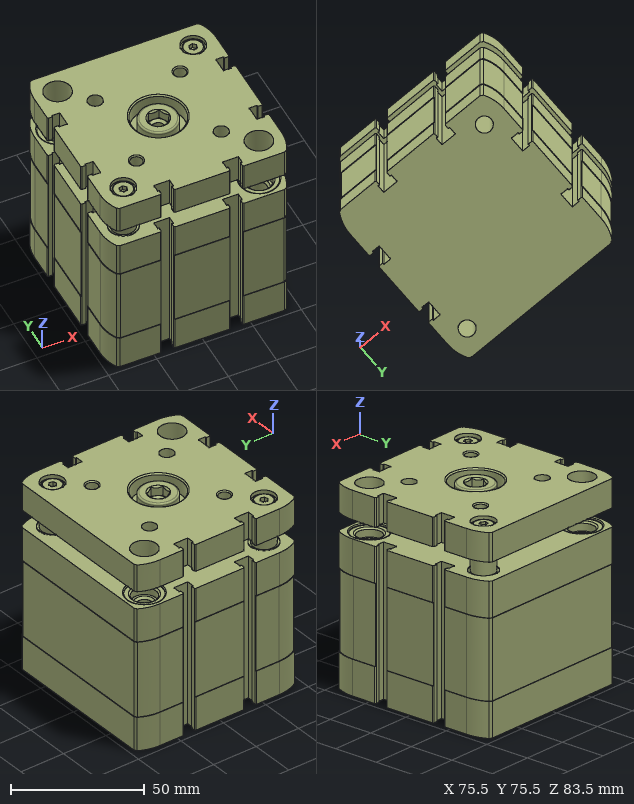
import cadquery as cq
import math

WIDTH = 75.5
HALF = WIDTH / 2
CORNER_ARC_RADIUS = 17.8
CORNER_DEPTH = 2.4
EDGE_BEVEL_WIDTH = 1.2
EDGE_BEVEL_DROP = 0.7

SLOT_OFFSET = 14.3
SLOT_MOUTH = 5.2
SLOT_INNER = 6.5
SLOT_DEPTH = 5.35
SLOT_LIP = 2.1
SLOT_CHAMFER = 0.4
SLOT_OVERCUT = 0.8

HOUSING_HEIGHT = 63.8
CAP_HEIGHT = 15
PROFILE_INSET = 0.2
YOKE_GAP = 7.7
PLATE_THICKNESS = 12.0
PLATE_BOTTOM = HOUSING_HEIGHT + YOKE_GAP
PLATE_TOP = PLATE_BOTTOM + PLATE_THICKNESS

CORNER_OFFSET = 28.1
GUIDE_AXES = [(CORNER_OFFSET, CORNER_OFFSET), (-CORNER_OFFSET, -CORNER_OFFSET)]
MOUNT_AXES = [(-CORNER_OFFSET, CORNER_OFFSET), (CORNER_OFFSET, -CORNER_OFFSET)]

GUIDE_DIA = 10
GUIDE_SEAT_DIA = 12.0
GUIDE_SEAT_DEPTH = 0.4
GUIDE_RECESS_DEPTH = 1.7
GUIDE_HEAD_DIA = 8.5
GUIDE_HEAD_HEIGHT = 0.75
GUIDE_HEAD_CHAMFER = 0.4
GUIDE_HEX_FLATS = 2.8
GUIDE_HEX_DEPTH = 2.0
GUIDE_HEX_TURN = 15

ROD_DIA = 16.0
ROD_FLATS = 12.7
ROD_FLAT_START = 1.0
ROD_FLAT_RUNOUT = 0.75
ROD_TOP_DROP = 1.0
ROD_ROUND = 0.75
ROD_HEX_FLATS = 7.7
ROD_HEX_DEPTH = 4.2
ROD_MOUTH_DIA = 9.2
ROD_DRILL_DIA = 5
ROD_DRILL_DEPTH = 3.3
ROD_CONE_ANGLE = 60
ROD_INSERTION = CAP_HEIGHT

PLATE_RECESS_DIA = 22.0
PLATE_RECESS_DEPTH = 6.85
PLATE_RECESS_CHAMFER = 0.6
MOUNT_ACCESS_DIA = 11.0
FIXING_OFFSET = 17.6
THREAD_DIA = 5
PIN_HOLE_DIA = 6.0

MOUNT_HOLE_DIA = 6.7
MOUNT_CONE_DIA = 8.5
MOUNT_SEAT_DIA = 15.5
MOUNT_SEAT_CHAMFER = 0.4
MOUNT_SEAT_DEPTH = 0.7
MOUNT_BORE_DIA = 10.6
MOUNT_BORE_RIM_DIA = 12.0
MOUNT_BORE_DEPTH = 4.5


def cylinder(diameter, bottom, top, axis=(0, 0)):
    """Vertical cylinder between two heights."""
    return cq.Workplane("XY", origin=(*axis, bottom)).circle(diameter / 2).extrude(top - bottom)


def cone(bottom_dia, top_dia, bottom, top, axis=(0, 0)):
    """Vertical cone between two heights."""
    solid = cq.Solid.makeCone(
        bottom_dia / 2, top_dia / 2, top - bottom, cq.Vector(*axis, bottom)
    )
    return cq.Workplane(solid)


def hexagon(flats, bottom, top, axis=(0, 0), turn=0):
    """Vertical hexagonal prism; with no turn, two of its corners lie along X."""
    prism = (
        cq.Workplane("XY", origin=(*axis, bottom))
        .polygon(6, flats / math.cos(math.pi / 6))
        .extrude(top - bottom)
    )
    return prism.rotate((*axis, 0), (*axis, 1), turn)


def corner_points(half):
    """Start, middle and end of the large arc, then the end of the small edge bevel."""
    sweep = math.acos(1 - CORNER_DEPTH / CORNER_ARC_RADIUS)
    start_y = half - EDGE_BEVEL_DROP - CORNER_ARC_RADIUS * math.sin(sweep)

    def on_arc(angle):
        x = half - CORNER_ARC_RADIUS * (1 - math.cos(angle))
        return (x, start_y + CORNER_ARC_RADIUS * math.sin(angle))

    return on_arc(0), on_arc(sweep / 2), on_arc(sweep), (on_arc(sweep)[0] - EDGE_BEVEL_WIDTH, half)


def section(half, bottom, top):
    """Square block with its four corners rounded into the X faces."""
    start, middle, end, edge = corner_points(half)
    outline = (
        cq.Workplane("XY", origin=(0, 0, bottom))
        .moveTo(start[0], -start[1])
        .lineTo(*start)
        .threePointArc(middle, end)
        .lineTo(*edge)
        .lineTo(-edge[0], edge[1])
        .lineTo(-end[0], end[1])
        .threePointArc((-middle[0], middle[1]), (-start[0], start[1]))
        .lineTo(-start[0], -start[1])
        .threePointArc((-middle[0], -middle[1]), (-end[0], -end[1]))
        .lineTo(-edge[0], -edge[1])
        .lineTo(edge[0], -edge[1])
        .lineTo(end[0], -end[1])
        .threePointArc((middle[0], -middle[1]), (start[0], -start[1]))
        .close()
    )
    return outline.extrude(top - bottom)


def t_slots(bottom, top):
    """Pairs of T-slots for the -Y, +X and -X faces."""
    mouth = SLOT_MOUTH / 2
    inner = SLOT_INNER / 2
    flare = mouth + SLOT_CHAMFER
    face = -HALF
    outside = face - SLOT_OVERCUT
    chamfer_end = face + SLOT_CHAMFER
    lip_end = face + SLOT_LIP
    floor = face + SLOT_DEPTH
    slot = (
        cq.Workplane("XY", origin=(0, 0, bottom))
        .polyline([
            (-flare, outside), (-flare, face), (-mouth, chamfer_end), (-mouth, lip_end),
            (-inner, lip_end), (-inner, floor), (inner, floor), (inner, lip_end),
            (mouth, lip_end), (mouth, chamfer_end), (flare, face), (flare, outside),
        ])
        .close()
        .extrude(top - bottom)
    )
    pair = slot.translate((-SLOT_OFFSET, 0, 0)).union(slot.translate((SLOT_OFFSET, 0, 0)))
    slots = pair
    for turn in (90, -90):
        slots = slots.union(pair.rotate((0, 0, 0), (0, 0, 1), turn))
    return slots


def make_housing():
    """Tube with two end caps, seats for the rods and two through mounting holes."""
    lower_cap_top = CAP_HEIGHT
    upper_cap_bottom = HOUSING_HEIGHT - CAP_HEIGHT
    body = (
        section(HALF, 0, lower_cap_top)
        .union(section(HALF - PROFILE_INSET, lower_cap_top, upper_cap_bottom))
        .union(section(HALF, upper_cap_bottom, HOUSING_HEIGHT))
        .cut(t_slots(0, HOUSING_HEIGHT))
    )

    rod_end = HOUSING_HEIGHT - ROD_INSERTION
    body = body.cut(cylinder(ROD_DIA, rod_end, HOUSING_HEIGHT))
    for axis in GUIDE_AXES:
        body = body.cut(cylinder(GUIDE_DIA, rod_end, HOUSING_HEIGHT, axis))
        body = body.cut(
            cylinder(GUIDE_SEAT_DIA, HOUSING_HEIGHT - GUIDE_SEAT_DEPTH, HOUSING_HEIGHT, axis)
        )

    seat_floor = HOUSING_HEIGHT - MOUNT_SEAT_DEPTH
    bore_floor = HOUSING_HEIGHT - MOUNT_BORE_DEPTH
    seat_rim_dia = MOUNT_SEAT_DIA + 2 * MOUNT_SEAT_CHAMFER
    seat_chamfer_bottom = HOUSING_HEIGHT - MOUNT_SEAT_CHAMFER
    bore_chamfer_bottom = seat_floor - (MOUNT_BORE_RIM_DIA - MOUNT_BORE_DIA) / 2
    countersink_bottom = bore_floor - (MOUNT_CONE_DIA - MOUNT_HOLE_DIA) / 2
    for axis in MOUNT_AXES:
        body = (
            body.cut(cylinder(MOUNT_SEAT_DIA, seat_floor, HOUSING_HEIGHT, axis))
            .cut(cone(MOUNT_SEAT_DIA, seat_rim_dia, seat_chamfer_bottom, HOUSING_HEIGHT, axis))
            .cut(cylinder(MOUNT_BORE_DIA, bore_floor, HOUSING_HEIGHT, axis))
            .cut(cone(MOUNT_BORE_DIA, MOUNT_BORE_RIM_DIA, bore_chamfer_bottom, seat_floor, axis))
            .cut(cone(MOUNT_HOLE_DIA, MOUNT_CONE_DIA, countersink_bottom, bore_floor, axis))
            .cut(cylinder(MOUNT_HOLE_DIA, 0, HOUSING_HEIGHT, axis))
        )
    return body


def make_piston_rod():
    """Central rod with wrench flats and a hexagon socket in its rounded end."""
    top = PLATE_TOP - ROD_TOP_DROP
    rod = cylinder(ROD_DIA, HOUSING_HEIGHT - ROD_INSERTION, top)
    rod = rod.faces(">Z").edges().fillet(ROD_ROUND)

    flat_start = HOUSING_HEIGHT + ROD_FLAT_START
    flat_end = PLATE_BOTTOM
    slope_low = flat_start - ROD_FLAT_RUNOUT
    flat_y = ROD_FLATS / 2
    rod_radius = ROD_DIA / 2
    flat = (
        cq.Workplane("YZ", origin=(-rod_radius, 0, 0))
        .polyline([
            (flat_y, flat_start), (rod_radius, slope_low),
            (rod_radius, flat_end), (flat_y, flat_end),
        ])
        .close()
        .extrude(ROD_DIA)
    )
    rod = rod.cut(flat).cut(flat.mirror("XZ"))

    hex_bottom = top - ROD_HEX_DEPTH
    slope = math.tan(math.radians(ROD_CONE_ANGLE))
    drill_top = hex_bottom - (ROD_HEX_FLATS - ROD_DRILL_DIA) / 2 / slope
    drill_bottom = drill_top - ROD_DRILL_DEPTH
    mouth_depth = (ROD_MOUTH_DIA - ROD_HEX_FLATS) / 2
    return (
        rod.cut(hexagon(ROD_HEX_FLATS, hex_bottom, top))
        .cut(cone(ROD_HEX_FLATS, ROD_MOUTH_DIA, top - mouth_depth, top))
        .cut(cone(ROD_DRILL_DIA, ROD_HEX_FLATS, drill_top, hex_bottom))
        .cut(cylinder(ROD_DRILL_DIA, drill_bottom, drill_top))
        .cut(cone(0, ROD_DRILL_DIA, drill_bottom - ROD_DRILL_DIA / 2 / slope, drill_bottom))
    )


def make_guide_rod(axis):
    """Guide rod ending below the plate top in a small head with a hexagon socket."""
    shoulder = PLATE_TOP - GUIDE_RECESS_DEPTH
    head_top = shoulder + GUIDE_HEAD_HEIGHT
    head = cylinder(GUIDE_HEAD_DIA, shoulder, head_top, axis).faces(">Z").chamfer(GUIDE_HEAD_CHAMFER)
    socket = hexagon(GUIDE_HEX_FLATS, head_top - GUIDE_HEX_DEPTH, head_top, axis, GUIDE_HEX_TURN)
    return cylinder(GUIDE_DIA, HOUSING_HEIGHT - ROD_INSERTION, shoulder, axis).union(head).cut(socket)


def make_yoke():
    """Front plate in one piece with the piston rod and both guide rods."""
    plate = section(HALF, PLATE_BOTTOM, PLATE_TOP).cut(t_slots(PLATE_BOTTOM, PLATE_TOP))
    rim_dia = PLATE_RECESS_DIA + 2 * PLATE_RECESS_CHAMFER
    plate = (
        plate.cut(cylinder(PLATE_RECESS_DIA, PLATE_TOP - PLATE_RECESS_DEPTH, PLATE_TOP))
        .cut(cone(PLATE_RECESS_DIA, rim_dia, PLATE_TOP - PLATE_RECESS_CHAMFER, PLATE_TOP))
    )
    for axis in MOUNT_AXES:
        plate = plate.cut(cylinder(MOUNT_ACCESS_DIA, PLATE_BOTTOM, PLATE_TOP, axis))

    thread_chamfer = (PIN_HOLE_DIA - THREAD_DIA) / 2
    for side in (1, -1):
        threaded = (side * FIXING_OFFSET, side * FIXING_OFFSET)
        pinned = (side * FIXING_OFFSET, -side * FIXING_OFFSET)
        plate = (
            plate.cut(cylinder(THREAD_DIA, PLATE_BOTTOM, PLATE_TOP, threaded))
            .cut(cone(THREAD_DIA, PIN_HOLE_DIA, PLATE_TOP - thread_chamfer, PLATE_TOP, threaded))
            .cut(cylinder(PIN_HOLE_DIA, PLATE_BOTTOM, PLATE_TOP, pinned))
        )

    yoke = plate.cut(cylinder(ROD_DIA, PLATE_BOTTOM, PLATE_TOP)).union(make_piston_rod())
    for axis in GUIDE_AXES:
        yoke = yoke.cut(cylinder(GUIDE_DIA, PLATE_BOTTOM, PLATE_TOP, axis)).union(make_guide_rod(axis))
    return yoke


housing = make_housing()
yoke = make_yoke()
result = cq.Compound.makeCompound([housing.val(), yoke.val()])